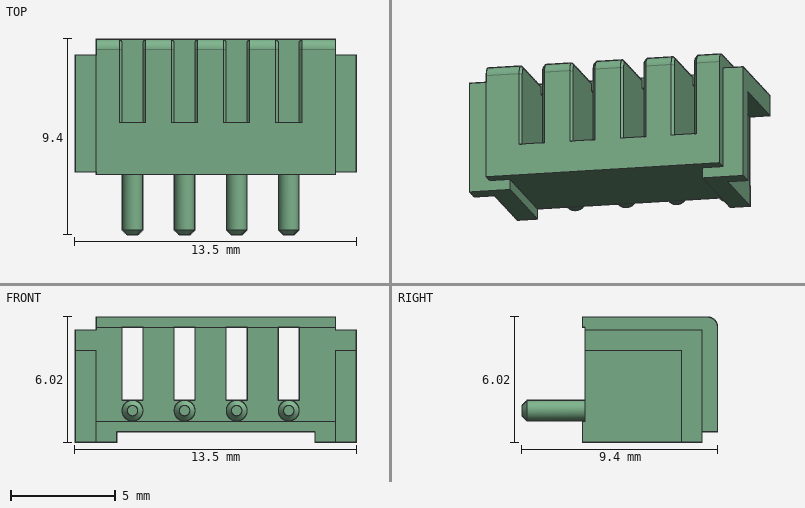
import cadquery as cq


body_length = 11.5
body_depth = 6.5
body_height = 6.02
front_recess = 0.12
cap_thickness = 0.5
ledge_height = 1.0
channel_height = 0.5
foot_inset = 1.0
back_overhang = 0.75
top_back_radius = 0.5

overall_length = 13.5
bracket_drop = 0.62
bracket_thickness = 1.0

pin_count = 4
pin_pitch = 2.5
pin_row_offset = -0.25
pin_diameter = 1.0
pin_height = 1.52
pin_protrusion = 2.9
pin_embed = 1.0
pin_tip_chamfer = 0.25

slot_width = pin_diameter
slot_floor = pin_height + pin_diameter / 2
top_slot_length = 4.0
slot_chamfer = 0.125

foot_back = body_depth - back_overhang
bracket_top = body_height - bracket_drop
cap_underside = body_height - cap_thickness
pin_positions = [pin_row_offset + (i - (pin_count - 1) / 2) * pin_pitch for i in range(pin_count)]


def box(x_range, y_range, z_range):
    """Box spanning the given (low, high) range on each axis."""
    (x0, x1), (y0, y1), (z0, z1) = x_range, y_range, z_range
    return cq.Workplane("XY").box(x1 - x0, y1 - y0, z1 - z0, centered=False).translate((x0, y0, z0))


def make_body():
    """Main block with a rounded top back edge, two feet and a recessed front."""
    half_length = body_length / 2
    across = (-half_length, half_length)
    body = box(across, (0, body_depth), (channel_height, body_height))
    body = body.edges(">Y and >Z").fillet(top_back_radius)
    body = body.cut(box(across, (0, front_recess), (ledge_height, cap_underside)))
    foot_inner = half_length - foot_inset
    for foot_x in ((-half_length, -foot_inner), (foot_inner, half_length)):
        body = body.union(box(foot_x, (0, foot_back), (0, channel_height)))
    return body


def make_bracket(side):
    """End bracket: a top flange and a back leg; side is -1 or +1."""
    x_range = sorted((side * body_length / 2, side * overall_length / 2))
    flange = box(x_range, (front_recess, foot_back), (bracket_top - bracket_thickness, bracket_top))
    leg = box(x_range, (foot_back - bracket_thickness, foot_back), (0, bracket_top))
    return flange.union(leg)


def make_slot(x):
    """Slot through the housing, open at the front and back and through the rear of the cap."""
    x_range = (x - slot_width / 2, x + slot_width / 2)
    top_slot_front = body_depth - top_slot_length
    through = box(x_range, (0, body_depth), (slot_floor, cap_underside))
    opening = box(x_range, (top_slot_front, body_depth), (slot_floor, body_height))
    return through.union(opening)


def chamfer_slots(slotted_body):
    """Chamfer the slot rims; each chamfer runs on around the rounded edge and down the back."""
    top_edges = slotted_body.faces(">Z").edges("|Y")
    return top_edges.edges("not(<X or >X)").chamfer(slot_chamfer)


def make_pin(x):
    """Round pin pointing forward, with a chamfered tip."""
    pin = (
        cq.Workplane("XZ", origin=(x, pin_embed, pin_height))
        .circle(pin_diameter / 2)
        .extrude(pin_embed + pin_protrusion)
    )
    return pin.faces("<Y").chamfer(pin_tip_chamfer)


housing = make_body()
for pin_x in pin_positions:
    housing = housing.cut(make_slot(pin_x))
housing = chamfer_slots(housing)

result = housing
for side in (-1, 1):
    result = result.union(make_bracket(side))
for pin_x in pin_positions:
    result = result.union(make_pin(pin_x))